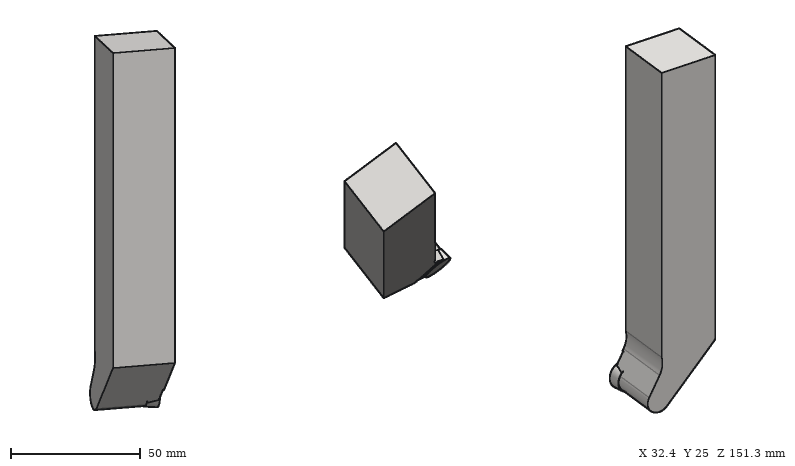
import cadquery as cq
import math

SHANK_SIDE = 25.0
TOTAL_HEIGHT = 151.3

INSERT_RADIUS = 6.0
INSERT_THICKNESS = 5.0
INSERT_CLEARANCE_ANGLE = 7.0
INSERT_OVERHANG = 7.4

NOSE_RADIUS = 5.3
NOSE_SETBACK = 0.2
FLANK_ANGLE = 60.0
RELIEF_ANGLE = 45.0
NECK_RADIUS = 10.0

STEP_DEPTH = 0.5
STEP_LENGTH = 8.6

INSERT_X = INSERT_RADIUS - INSERT_OVERHANG
INSERT_Z = INSERT_RADIUS
NOSE_CENTER = (INSERT_X + NOSE_SETBACK, INSERT_Z + NOSE_SETBACK)
FLANK_NORMAL = FLANK_ANGLE + 90
RELIEF_NORMAL = RELIEF_ANGLE - 90


def offset_point(origin, angle, distance):
    """Point at a distance from origin, along an angle measured from +X towards +Z."""
    radians = math.radians(angle)
    return (origin[0] + distance * math.cos(radians), origin[1] + distance * math.sin(radians))


def neck_arc_center(shoulder):
    """Center of the neck arc that passes through the shoulder and is tangent to the flank."""
    base = offset_point(NOSE_CENTER, FLANK_NORMAL, NOSE_RADIUS + NECK_RADIUS)
    dx = shoulder[0] - base[0]
    dz = shoulder[1] - base[1]
    flank = math.radians(FLANK_ANGLE)
    along = dx * math.cos(flank) + dz * math.sin(flank)
    across = dz * math.cos(flank) - dx * math.sin(flank)
    return offset_point(base, FLANK_ANGLE, along - math.sqrt(NECK_RADIUS**2 - across**2))


def extrude_along_y(sketch, length):
    """XZ-plane extrusions run towards -Y, so the length is negated to run towards +Y."""
    return sketch.extrude(-length)


def make_holder_blank():
    relief_start = offset_point(NOSE_CENTER, RELIEF_NORMAL, NOSE_RADIUS)
    nose_middle = offset_point(NOSE_CENTER, (FLANK_NORMAL + RELIEF_NORMAL - 360) / 2, NOSE_RADIUS)
    flank_start = offset_point(NOSE_CENTER, FLANK_NORMAL, NOSE_RADIUS)

    relief_rise = (SHANK_SIDE - relief_start[0]) * math.tan(math.radians(RELIEF_ANGLE))
    shoulder_z = relief_start[1] + relief_rise
    shoulder = (0, shoulder_z)

    arc_center = neck_arc_center(shoulder)
    arc_start_angle = FLANK_NORMAL - 180
    arc_end_angle = math.degrees(math.atan2(shoulder_z - arc_center[1], -arc_center[0]))
    flank_end = offset_point(arc_center, arc_start_angle, NECK_RADIUS)
    arc_middle = offset_point(arc_center, (arc_start_angle + arc_end_angle) / 2, NECK_RADIUS)

    outline = (
        cq.Workplane("XZ")
        .moveTo(SHANK_SIDE, TOTAL_HEIGHT)
        .lineTo(SHANK_SIDE, shoulder_z)
        .lineTo(*relief_start)
        .threePointArc(nose_middle, flank_start)
        .lineTo(*flank_end)
        .threePointArc(arc_middle, shoulder)
        .lineTo(0, TOTAL_HEIGHT)
        .close()
    )
    return extrude_along_y(outline, SHANK_SIDE)


def make_step_cutter():
    """Oversized block covering the nose, ending across the neck square to the flank."""
    step_end = offset_point(NOSE_CENTER, FLANK_ANGLE, STEP_LENGTH)
    corners = [
        offset_point(step_end, FLANK_NORMAL, SHANK_SIDE),
        offset_point(step_end, FLANK_NORMAL, -SHANK_SIDE),
    ]
    corners += [offset_point(corner, FLANK_ANGLE, -SHANK_SIDE) for corner in reversed(corners)]
    outline = cq.Workplane("XZ", origin=(0, SHANK_SIDE - STEP_DEPTH, 0)).polyline(corners).close()
    return extrude_along_y(outline, STEP_DEPTH)


def make_insert():
    inner_radius = INSERT_RADIUS - INSERT_THICKNESS * math.tan(math.radians(INSERT_CLEARANCE_ANGLE))
    return cq.Workplane(
        cq.Solid.makeCone(
            inner_radius,
            INSERT_RADIUS,
            INSERT_THICKNESS,
            pnt=cq.Vector(INSERT_X, SHANK_SIDE - INSERT_THICKNESS, INSERT_Z),
            dir=cq.Vector(0, 1, 0),
        )
    )


insert = make_insert()
holder = make_holder_blank().cut(make_step_cutter()).cut(insert)

result = cq.Compound.makeCompound([holder.solids().val(), insert.val()])